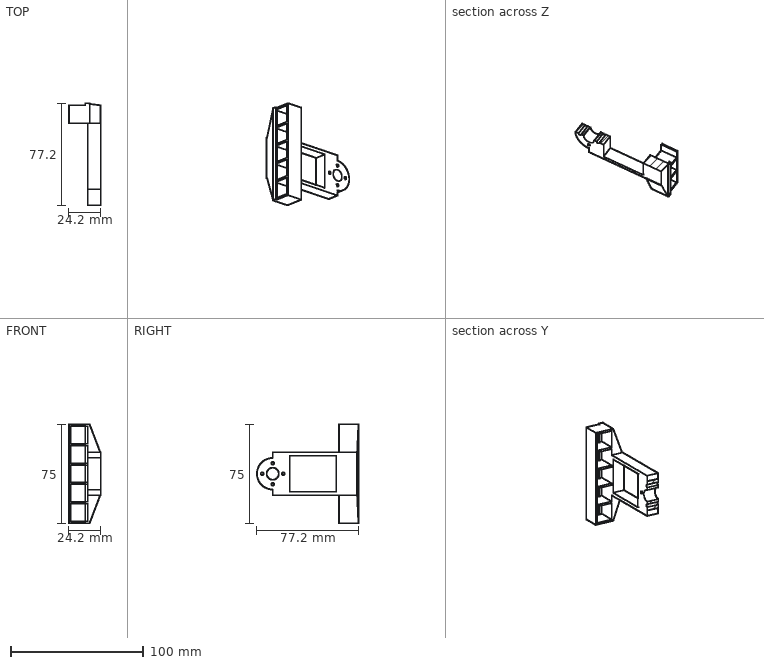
import cadquery as cq

rack_height = 75.0
wall = 1.5
compartment_count = 5
rack_depth = 13.7
compartment_width = 12.7
compartment_pitch = (rack_height - wall) / compartment_count

lip_depth = 1.5
lip_overlap = 2.0
back_y = rack_depth + lip_depth

arm_thickness = 10.0
arm_height = 32.8
arm_length = 50.0
arm_x = wall + compartment_width
outer_x = arm_x + arm_thickness

gusset_start_x = arm_x + wall
gusset_inset = 0.5
gusset_end_x = outer_x - gusset_inset
gusset_lip_depth = 1.0

window_length = 35.0
window_height = 27.2
window_setback = 2.0

mount_radius = 12.0
shaft_hole_diameter = 9.0
screw_hole_diameter = 2.0
screw_circle_diameter = 16.0
screw_count = 4


def block(x_start, x_end, y_start, y_end, height):
    """Box spanning the given X and Y ranges, centred on Z = 0."""
    return (
        cq.Workplane("XY")
        .box(x_end - x_start, y_end - y_start, height, centered=(False, False, True))
        .translate((x_start, y_start, 0))
    )


def side_plane():
    """Plane at the inner arm face, facing +X, with its origin at the mount centre."""
    return cq.Workplane("YZ", origin=(arm_x, -arm_length, 0))


def make_rack():
    """Rack body with its lip; the compartments are open at the front."""
    rack = block(0, gusset_start_x, 0, rack_depth, rack_height)
    lip = block(arm_x - lip_overlap, gusset_start_x, rack_depth, back_y, rack_height)
    rack = rack.union(lip)
    for index in range(compartment_count):
        center_z = (index - (compartment_count - 1) / 2) * compartment_pitch
        compartment = block(wall, arm_x, 0, rack_depth, compartment_pitch - wall)
        rack = rack.cut(compartment.translate((0, 0, center_z)))
    return rack


def make_gusset():
    """Solid that tapers from the rack, just below the lip surface, down to the arm section."""
    height_profile = (
        cq.Workplane("XZ")
        .polyline([
            (gusset_start_x, -rack_height / 2),
            (gusset_end_x, -arm_height / 2),
            (gusset_end_x, arm_height / 2),
            (gusset_start_x, rack_height / 2),
        ])
        .close()
        .extrude(-back_y)
    )
    depth_profile = (
        cq.Workplane("XY")
        .polyline([
            (gusset_start_x, 0),
            (gusset_end_x, 0),
            (gusset_end_x, rack_depth),
            (gusset_start_x, rack_depth + gusset_lip_depth),
        ])
        .close()
        .extrude(rack_height / 2, both=True)
    )
    return height_profile.intersect(depth_profile)


def make_arm():
    """Arm plate with a round tip; its root runs along the rack to the rack depth."""
    plate = block(arm_x, outer_x, -arm_length, rack_depth, arm_height)
    tip = side_plane().circle(mount_radius).extrude(arm_thickness)
    return plate.union(tip)


def make_window():
    """Rectangular opening through the arm thickness."""
    window_front_y = -window_setback - window_length
    return block(arm_x, outer_x, window_front_y, -window_setback, window_height)


def make_mount_holes():
    """Shaft hole and the ring of screw holes, through the arm thickness."""
    shaft_hole = side_plane().circle(shaft_hole_diameter / 2).extrude(arm_thickness)
    screw_holes = (
        side_plane()
        .polarArray(screw_circle_diameter / 2, 0, 360, screw_count)
        .circle(screw_hole_diameter / 2)
        .extrude(arm_thickness)
    )
    return shaft_hole.union(screw_holes)


body = make_rack().union(make_gusset()).union(make_arm())
result = body.cut(make_window()).cut(make_mount_holes())